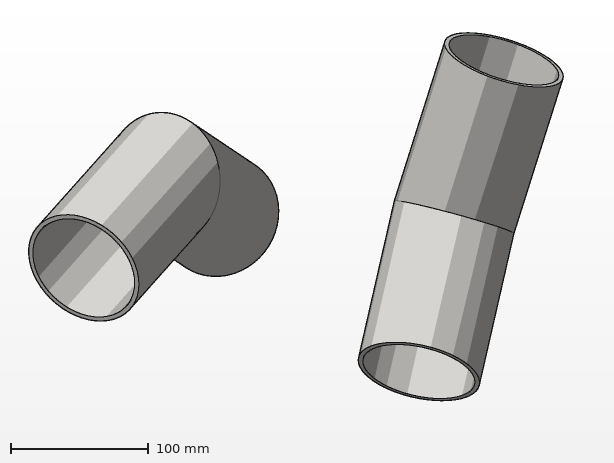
import cadquery as cq
import math

overall_length = 248.5
outer_diameter = 90.0
inner_diameter = 83.0
bend_angle = math.radians(45.0)

end_overhang = outer_diameter / 2 * math.sin(bend_angle)
leg_length = (overall_length - end_overhang) / (1 + math.cos(bend_angle))

centreline = cq.Workplane("YZ").polyline([
    (0, 0),
    (leg_length, 0),
    (leg_length * (1 + math.cos(bend_angle)), -leg_length * math.sin(bend_angle)),
])

tube_wall = cq.Workplane("XZ").circle(outer_diameter / 2).circle(inner_diameter / 2)
result = tube_wall.sweep(centreline, transition="right")